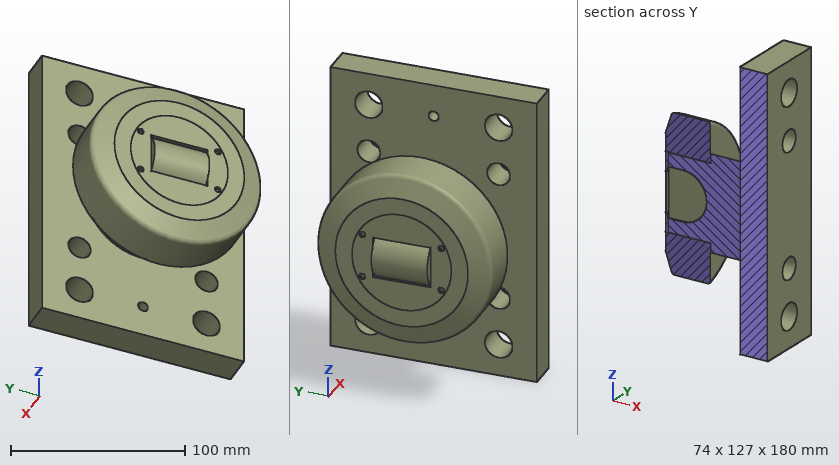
import cadquery as cq


PLATE_THICKNESS = 19.0
PLATE_WIDTH = 127.0
PLATE_HEIGHT = 180.0
HOLE_OFFSET_Y = 40.0
OUTER_HOLE_OFFSET_Z = 70.0
INNER_HOLE_OFFSET_Z = HOLE_OFFSET_Y
OUTER_HOLE_DIAMETER = 17.0
INNER_HOLE_DIAMETER = 14.0
PIN_HOLE_DIAMETER = 6.1

RING_RADIUS = 53.8
RING_WIDTH = 31.0
RING_FACE_RADIUS = 40.9
RING_CONE_DEPTH = 4.7
RING_FRONT_FILLET = 2.9
RING_BACK_FILLET = 2.0

COLLAR_RADIUS = 35.6
COLLAR_LENGTH = 20.0
BORE_RADIUS = 30.6

COVER_THICKNESS = 2.0
WINDOW_LENGTH = 35.6
WINDOW_HEIGHT = 25.5
SCREW_HOLE_DIAMETER = 3.6
SCREW_HOLE_OFFSET_Y = 24.3
SCREW_HOLE_OFFSET_Z = 13.5

ROLLER_RADIUS = 16.0
ROLLER_LENGTH = 34.4
ROLLER_PROTRUSION = 4.0

RING_BACK_X = -COLLAR_LENGTH
RING_FRONT_X = RING_BACK_X - RING_WIDTH
COVER_BACK_X = RING_FRONT_X + COVER_THICKNESS
ROLLER_AXIS_X = RING_FRONT_X - ROLLER_PROTRUSION + ROLLER_RADIUS


def disc(radius, front_x, back_x):
    """Cylinder on the bearing axis between two X positions."""
    return cq.Workplane("YZ", origin=(front_x, 0, 0)).circle(radius).extrude(back_x - front_x)


def mirrored_points(y, z):
    """Four points placed symmetrically about the Y and Z axes."""
    return [(sign_y * y, sign_z * z) for sign_y in (-1, 1) for sign_z in (-1, 1)]


def cross_cylinder(length):
    """Cylinder of the side roller's radius, along Y and centred on the roller axis."""
    end_face = cq.Workplane("XZ", origin=(ROLLER_AXIS_X, length / 2, 0))
    return end_face.circle(ROLLER_RADIUS).extrude(length)


def make_plate():
    """Flange plate with eight mounting holes and two pin holes, all through."""
    plate = cq.Workplane("YZ").rect(PLATE_WIDTH, PLATE_HEIGHT).extrude(PLATE_THICKNESS)
    hole_groups = [
        (OUTER_HOLE_DIAMETER, mirrored_points(HOLE_OFFSET_Y, OUTER_HOLE_OFFSET_Z)),
        (INNER_HOLE_DIAMETER, mirrored_points(HOLE_OFFSET_Y, INNER_HOLE_OFFSET_Z)),
        (PIN_HOLE_DIAMETER, [(0, -OUTER_HOLE_OFFSET_Z), (0, OUTER_HOLE_OFFSET_Z)]),
    ]
    for diameter, points in hole_groups:
        holes = cq.Workplane("YZ").pushPoints(points).circle(diameter / 2).extrude(PLATE_THICKNESS)
        plate = plate.cut(holes)
    return plate


def make_journal():
    """Stepped journal: a collar behind the ring, a spindle inside it and the roller's seat."""
    collar = disc(COLLAR_RADIUS, RING_BACK_X, 0)
    spindle = disc(BORE_RADIUS, COVER_BACK_X, RING_BACK_X)
    return collar.union(spindle).cut(make_roller_seat())


def make_roller_seat():
    """Round-bottomed slot that is open toward the cover."""
    slot_depth = ROLLER_AXIS_X - COVER_BACK_X
    slot = cq.Workplane("XY").box(slot_depth, WINDOW_LENGTH, 2 * ROLLER_RADIUS)
    slot = slot.translate((COVER_BACK_X + slot_depth / 2, 0, 0))
    return slot.union(cross_cylinder(WINDOW_LENGTH))


def make_ring():
    """Outer ring with a conical front edge and rounded rims."""
    profile = (
        cq.Workplane("XY")
        .moveTo(RING_FRONT_X, BORE_RADIUS)
        .lineTo(RING_FRONT_X, RING_FACE_RADIUS)
        .lineTo(RING_FRONT_X + RING_CONE_DEPTH, RING_RADIUS)
        .lineTo(RING_BACK_X, RING_RADIUS)
        .lineTo(RING_BACK_X, BORE_RADIUS)
        .close()
    )
    ring = profile.revolve(360, (0, 0, 0), (1, 0, 0))
    rims = ring.edges(cq.selectors.RadiusNthSelector(-1))
    ring = rims.edges("<X").fillet(RING_FRONT_FILLET)
    return ring.faces(">X").edges(cq.selectors.RadiusNthSelector(-1)).fillet(RING_BACK_FILLET)


def make_cover():
    """Thin disc flush with the ring's front face, with the roller window and screw holes."""
    cover = disc(BORE_RADIUS, RING_FRONT_X, COVER_BACK_X)
    front = cq.Workplane("YZ", origin=(RING_FRONT_X, 0, 0))
    window = front.rect(WINDOW_LENGTH, WINDOW_HEIGHT).extrude(COVER_THICKNESS)
    screw_points = mirrored_points(SCREW_HOLE_OFFSET_Y, SCREW_HOLE_OFFSET_Z)
    screw_holes = front.pushPoints(screw_points).circle(SCREW_HOLE_DIAMETER / 2).extrude(COVER_THICKNESS)
    return cover.cut(window).cut(screw_holes)


plate = make_plate()
journal = make_journal()
ring = make_ring()
cover = make_cover()
side_roller = cross_cylinder(ROLLER_LENGTH)

bodies = [plate, journal, ring, cover, side_roller]
result = cq.Compound.makeCompound([body.solids().val() for body in bodies])